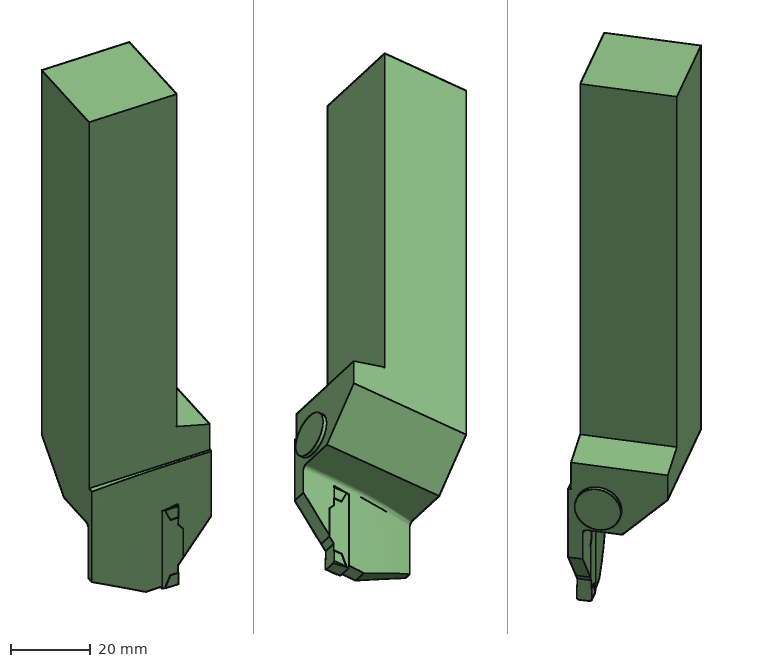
import cadquery as cq
import math

length = 152.4
shank = 25.0

head_depth = 34.5
head_step_z = 48.9
head_back_z = 46.3
taper_top_z = 39.0
shoulder_z = 27.0
shoulder_x = 11.7

blade_top_z = 38.4
blade_inner_x = 22.0
blade_outer_x = 25.8
inner_bow = 2.6
outer_bow = 0.8
root_radius = 1.2
blade_bottom_z = 1.2
blade_bottom_y = 15.7
front_corner_z = 10.2
back_corner_z = 18.3

boss_diameter = 11.9
boss_height = 1.0
boss_x = 17.8
boss_z = 34.1

insert_length = 25.1
insert_front_y = 20.4
insert_back_y = shank
bulge = 1.4
bulge_start_z = 6.2
bulge_slope = bulge * (back_corner_z - bulge_start_z) / (head_depth - insert_back_y)
end_clearance = 0.5
side_relief = 0.2
tip_corner = 0.5
tip_height = 4.0
tip_narrow_y = 22.7
tip_front_y = 21.3


def extrude_along_x(points, start, end):
    return cq.Workplane("YZ").workplane(offset=start).polyline(points).close().extrude(end - start)


def tangent_arc_x(face_x, bow, y):
    """X of a face that curves away from a tangent point at the shank back."""
    radius = (shank**2 + bow**2) / (2 * bow)
    return face_x + radius - math.sqrt(radius**2 - (shank - y) ** 2)


def make_blade():
    mid_y = shank / 2
    plan = (
        cq.Workplane("XY")
        .moveTo(blade_inner_x + inner_bow, 0)
        .threePointArc(
            (tangent_arc_x(blade_inner_x, inner_bow, mid_y), mid_y),
            (blade_inner_x, shank),
        )
        .lineTo(blade_inner_x, head_depth)
        .lineTo(blade_outer_x, head_depth)
        .lineTo(blade_outer_x, shank)
        .threePointArc(
            (tangent_arc_x(blade_outer_x, outer_bow, mid_y), mid_y),
            (blade_outer_x + outer_bow, 0),
        )
        .close()
    )
    return plan.extrude(blade_top_z)


def make_side_outline():
    """Side silhouette of the holder, as wide in X as the whole holder."""
    points = [
        (0, front_corner_z),
        (0, length),
        (shank, length),
        (shank, head_step_z),
        (head_depth, head_back_z),
        (head_depth, back_corner_z),
        (insert_back_y, bulge_start_z),
        (insert_front_y, blade_bottom_z),
        (blade_bottom_y, blade_bottom_z),
    ]
    return extrude_along_x(points, 0, blade_outer_x + outer_bow)


def make_shank_and_head():
    front_points = [
        (0, taper_top_z),
        (0, length),
        (shank, length),
        (shank, shoulder_z),
        (shoulder_x, shoulder_z),
    ]
    return cq.Workplane("XZ").polyline(front_points).close().extrude(-head_depth)


def make_boss():
    return (
        cq.Workplane("XZ", origin=(boss_x, head_depth, boss_z))
        .circle(boss_diameter / 2)
        .extrude(-boss_height)
    )


def extrude_insert_outline(start, end):
    """Side outline of the insert, extruded between two X positions."""
    upper_bulge_z = insert_length - bulge_start_z
    points = [
        (insert_front_y, end_clearance),
        (insert_back_y, 0),
        (insert_back_y, bulge_start_z),
        (insert_back_y + bulge, bulge_start_z + bulge_slope),
        (insert_back_y + bulge, upper_bulge_z - bulge_slope),
        (insert_back_y, upper_bulge_z),
        (insert_back_y, insert_length),
        (insert_front_y, insert_length - end_clearance),
    ]
    return extrude_along_x(points, start, end)


def make_insert_body():
    return extrude_insert_outline(blade_inner_x + side_relief, blade_outer_x)


def make_cutting_end():
    """Lower cutting end, wider than the insert body, with bevelled corners."""
    clearance_slope = end_clearance / (insert_back_y - insert_front_y)
    front_z = (insert_back_y - tip_front_y) * clearance_slope
    points = [
        (insert_back_y, 0),
        (insert_back_y, tip_height),
        (tip_narrow_y, tip_height),
        (tip_front_y, front_z + tip_corner),
        (tip_front_y, front_z),
    ]
    return extrude_along_x(points, blade_inner_x, blade_outer_x + side_relief)


def make_bevelled_envelope():
    """Envelope with bevels along the four end corners of the insert."""
    left = blade_inner_x
    right = blade_outer_x + side_relief
    envelope = cq.Workplane("XY").box(
        right - left, insert_back_y + bulge - insert_front_y, insert_length, centered=False
    )
    return envelope.edges("|Y").chamfer(tip_corner).translate((left, insert_front_y, 0))


def make_insert():
    lower_end = make_cutting_end()
    upper_end = lower_end.mirror("XY", (0, 0, insert_length / 2))
    return make_insert_body().union(lower_end).union(upper_end).intersect(make_bevelled_envelope())


def make_insert_seat():
    """Through slot with the side outline of the insert."""
    return extrude_insert_outline(0, blade_outer_x + outer_bow)


def make_holder():
    holder = make_shank_and_head().union(make_blade())
    root_edges = cq.selectors.BoxSelector(
        (blade_inner_x - root_radius, -1.5, shoulder_z - root_radius / 2),
        (blade_inner_x + inner_bow, head_depth + 1.5, shoulder_z + root_radius / 2),
    )
    holder = holder.edges(root_edges).edges("not(<X)").fillet(root_radius)
    return holder.intersect(make_side_outline()).union(make_boss()).cut(make_insert_seat())


insert = make_insert()
holder = make_holder()
result = cq.Compound.makeCompound([holder.val(), insert.val()])